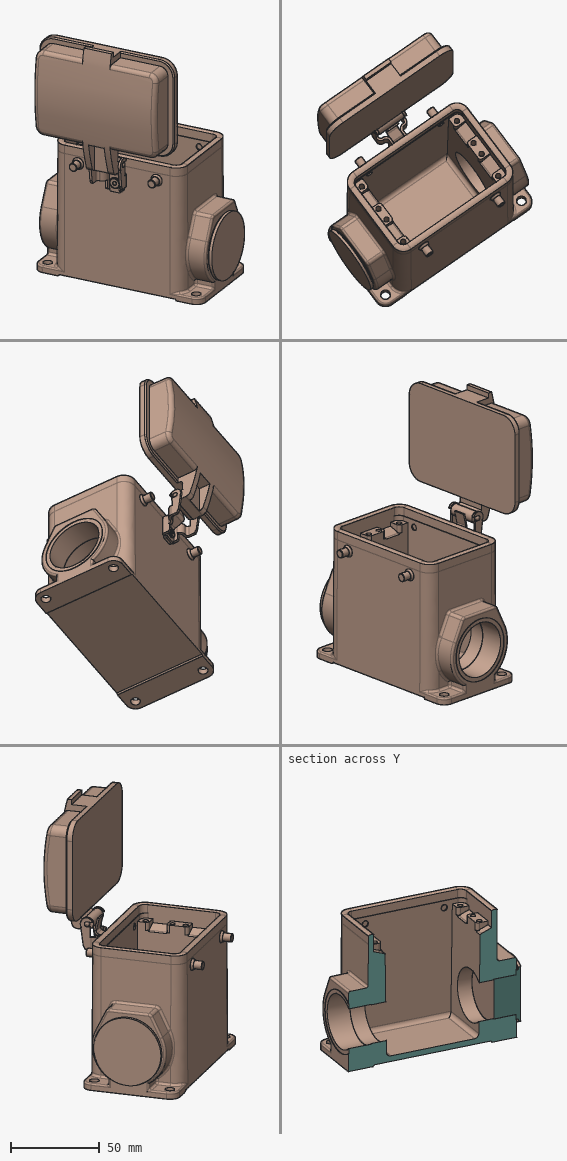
import cadquery as cq
import math

rim_top = 81.7
shoulder_z = 76.1
base_length = 82.1
base_depth = 56.8
wall_draft = 0.3
wall_corner = 7.6
rim_crown = 0.5

wall_y = -28.2

plate_length = 106.1
plate_thickness = 4.0
plate_corner = 5.9
plate_round = 1.0
foot_hole_diameter = 5.5
underside_length = 75.0
underside_gap = 1.0
underside_slope = 0.8

mouth_length = 74.2
mouth_depth = 48.0
mouth_corner = 3.7
ledge_z = 73.1
well_length = 59.7
well_depth = 47.3
well_floor_length = 57.9
well_floor_z = 4.7
well_floor_round = 2.6

boss_hole_diameter = 3.0
boss_hole_depth = 9.3
boss_hole_x = 33.0
boss_hole_ys = (-19.9, -3.9, 3.9, 19.9)
boss_round = 1.9
pocket_inner_y = 6.5
pocket_outer_y = 17.1
pocket_back_drop = 2.3
pocket_front_drop = 4.7
pocket_lip = 0.8
pocket_lip_drop = 1.5

entry_z = 26.5
entry_radius = 22.1
entry_top_z = 49.5
hub_embed = 4.7
entry_slope = 26.3
entry_top_round = 2.5
entry_neck_half = 12.1
entry_edge_round = 1.2
entry_root_round = 1.4
bore_diameter = 32.0
thread_diameter = 32.5
thread_depth = 14.6
seat_diameter = 37.5
seat_depth = 0.3

pin_x = 24.9
pin_z = 71.7
pin_diameter = 4.8
pin_tip_y = 34.5
pin_tip_chamfer = 0.3
collar_base_diameter = 7.0
collar_top_diameter = 5.5
collar_height = 1.4
pin_dimple_diameter = 3.7
pin_dimple_depth = 0.8

plug_flange_diameter = 40.1
plug_flange_start = 53.8
plug_end_x = 55.7

lid_z = 122.9
lid_top_z = 155.6
flange_length = 85.5
flange_height = 59.5
flange_front_y = -37.2
flange_back_y = -41.2
flange_corner = 9.3
flange_chamfer = 0.8
shell_length = 77.8
shell_height = 52.1
shell_corner = 5.1
shell_edge_round = 2.6
shell_draft = 0.7
dome_radius = 126.0
dome_y = -56.3
arm_half = 8.7
lip_y = -49.5
arm_bottom_z = 79.0
arm_inner_y = -44.0
arm_inner_round = 1.9
arm_bottom_round = 3.1
slot_half = 5.0
slot_top_z = 97.2
slot_floor_y = -46.7

hinge_y = -40.0
hinge_z = 82.8
barrel_radius = 3.5
barrel_gap = 0.2
hinge_pin_diameter = 3.0
hinge_pin_half = 10.9
hinge_pin_round = 1.2

sheet = 1.4
channel_half = 5.0
wing_y = -34.5
ear_outer_x = 10.1
ear_front_y = -38.1
wing_bottom_z = 67.8
wing_top_z = 75.3
channel_bottom_z = 62.0
channel_lip_y = -33.1
channel_lip_chamfer = 1.0
tongue_bottom_z = 60.2
tongue_corner = 0.8
ear_radius = 3.9
ear_foot_y = -41.0
ear_back_y = -42.2
ear_back_z = 70.0
ear_head_y = -43.5
ear_head_z = 80.5
channel_bend = 1.0
wing_outer_bend = 3.5
ear_outer_bend = 2.8

leaf = 1.1
leaf_half = 3.6
leaf_bend = 1.4
foot_top_z = 71.9
knee_y = -38.0
knee_z = 75.1
tip_y = -36.0
tip_z = 84.6
rivet_z = 66.0
rivet_shank_diameter = 3.7
rivet_head_diameter = 6.5
rivet_head_height = 1.1
rivet_head_chamfer = 0.5
rivet_dimple_diameter = 2.3
rivet_dimple_depth = 0.5

overlap = 1.5

touch = 0.2

end_x = plate_length / 2
wall_end_x = base_length / 2
wall_inset = shoulder_z * math.tan(math.radians(wall_draft))
rim_length = base_length - 2 * wall_inset
rim_depth = base_depth - 2 * wall_inset
rim_corner = wall_corner - wall_inset
crown_z = rim_top - rim_crown
channel_inner = channel_half - sheet
ear_inner_x = ear_outer_x - sheet
spring_y = wall_y - sheet
rivet_head_y = spring_y - leaf
barrel_half = arm_half - barrel_gap
flange_top_z = lid_z + flange_height / 2
flange_bottom_z = lid_z - flange_height / 2
dome_axis_y = dome_y + dome_radius


def block(x_range, y_range, z_range):
    """A box between two limits along each axis."""
    limits = (x_range, y_range, z_range)
    sizes = [high - low for low, high in limits]
    return cq.Workplane("XY").box(*sizes, centered=False).translate([low for low, high in limits])


def disc_x(diameter, x_start, x_end, y, z):
    """A cylinder along X."""
    plane = cq.Plane(origin=(x_start, y, z), xDir=(0, 1, 0), normal=(1, 0, 0))
    return cq.Workplane(plane).circle(diameter / 2).extrude(x_end - x_start)


def disc_y(diameter, y_start, y_end, x, z):
    """A cylinder along Y, running from y_start to the lower y_end."""
    return cq.Workplane("XZ", origin=(x, y_start, z)).circle(diameter / 2).extrude(y_start - y_end)


def rounded_block(length, depth, corner, z_bottom, z_top):
    """An upright block with rounded vertical corners."""
    height = z_top - z_bottom
    blank = cq.Workplane("XY", origin=(0, 0, z_bottom)).rect(length, depth).extrude(height)
    return blank.edges("|Z").fillet(corner)



def housing_wall():
    """Drafted outer block with a straight rim above its shoulder."""
    outline = cq.Sketch().rect(base_length, base_depth).vertices().fillet(wall_corner)
    drafted = cq.Workplane("XY").placeSketch(outline).extrude(shoulder_z, taper=wall_draft)
    rim = drafted.faces(">Z").wires().toPending().workplane().extrude(crown_z - shoulder_z)
    return drafted.union(rim)


def crown():
    """Shallow arched bead along the top of the rim."""
    middle_length = (rim_length + mouth_length) / 2
    middle_depth = (rim_depth + mouth_depth) / 2
    middle_corner = (rim_corner + mouth_corner) / 2
    path = rounded_block(middle_length, middle_depth, middle_corner, 0, crown_z).faces(">Z").wires()
    return (
        cq.Workplane("YZ")
        .moveTo(mouth_depth / 2, crown_z)
        .threePointArc((middle_depth / 2, rim_top), (rim_depth / 2, crown_z))
        .close()
        .sweep(path)
    )


def entry_hub():
    """Cable-entry hub at the +X end: round, with a sloped roof above and a neck below."""
    slope = math.radians(entry_slope)
    tangent_y = entry_radius * math.cos(slope)
    tangent_z = entry_z + entry_radius * math.sin(slope)
    roof_half = tangent_y - (entry_top_z - tangent_z) * math.tan(slope)
    neck_z = entry_z - math.sqrt(entry_radius**2 - entry_neck_half**2)
    inner_x = wall_end_x - hub_embed
    hub = (
        cq.Workplane("YZ", origin=(inner_x, 0, 0))
        .moveTo(-roof_half, entry_top_z)
        .lineTo(roof_half, entry_top_z)
        .lineTo(tangent_y, tangent_z)
        .threePointArc((entry_radius, entry_z), (entry_neck_half, neck_z))
        .lineTo(entry_neck_half, plate_thickness / 2)
        .lineTo(-entry_neck_half, plate_thickness / 2)
        .lineTo(-entry_neck_half, neck_z)
        .threePointArc((-entry_radius, entry_z), (-tangent_y, tangent_z))
        .close()
        .extrude(end_x - inner_x)
    )
    hub = hub.edges("|X").edges(">Z").fillet(entry_top_round)
    return hub.faces(">X").edges("not <Z").fillet(entry_edge_round)


def mounting_plate():
    """Base plate with rounded top edges and four foot holes."""
    plate = rounded_block(plate_length, base_depth, plate_corner, 0, plate_thickness)
    plate = plate.faces(">Z").edges().fillet(plate_round)
    drafted_sides = cq.Workplane("XY").rect(2 * plate_length, base_depth)
    drafted_sides = drafted_sides.extrude(plate_thickness, taper=wall_draft)
    plate = plate.intersect(drafted_sides)
    holes = (
        cq.Workplane("XY")
        .rect(plate_length - 2 * plate_corner, base_depth - 2 * plate_corner, forConstruction=True)
        .vertices()
        .circle(foot_hole_diameter / 2)
        .extrude(plate_thickness)
    )
    return plate.cut(holes)


def underside_relief():
    """Shallow channel with sloped ends under the middle of the housing."""
    half_length = underside_length / 2
    relief = block((-half_length, half_length), (-base_depth, base_depth), (0, underside_gap))
    return relief.edges("|Y").edges(">Z").chamfer(underside_slope)


def cavity():
    """Mouth down to the ledges, and the deeper well between them."""
    mouth = rounded_block(mouth_length, mouth_depth, mouth_corner, shoulder_z, crown_z)
    ledges = rounded_block(mouth_length, well_depth, mouth_corner, ledge_z, shoulder_z)
    well = (
        cq.Workplane("XY", origin=(0, 0, well_floor_z))
        .rect(well_floor_length, well_depth)
        .workplane(offset=ledge_z - well_floor_z)
        .rect(well_length, well_depth)
        .loft()
    )
    well = well.faces("<Z").edges().fillet(well_floor_round)
    return mouth.union(ledges).union(well)


def ledge_pocket(side_x, side_y):
    """Sloping pocket that separates two screw bosses on one ledge."""
    well_x = well_length / 2
    mouth_x = mouth_length / 2
    depth_range = (ledge_z - pocket_front_drop, ledge_z)
    pocket = (
        cq.Workplane("XZ", origin=(0, pocket_outer_y, 0))
        .moveTo(well_x - overlap, ledge_z + overlap)
        .lineTo(mouth_x, ledge_z + overlap)
        .lineTo(mouth_x, ledge_z - pocket_back_drop)
        .lineTo(well_x + pocket_lip, ledge_z - pocket_front_drop)
        .lineTo(well_x - overlap, ledge_z - pocket_front_drop - pocket_lip_drop)
        .close()
        .extrude(pocket_outer_y - pocket_inner_y)
    )
    for edge_y, toward_boss in ((pocket_inner_y, -1), (pocket_outer_y, 1)):
        centre_y = edge_y + toward_boss * boss_round
        corner = block(
            (well_x - overlap, well_x + boss_round),
            (min(edge_y, centre_y), max(edge_y, centre_y)),
            depth_range,
        )
        round_boss = (
            cq.Workplane("XY", origin=(well_x + boss_round, centre_y, depth_range[0]))
            .circle(boss_round)
            .extrude(pocket_front_drop)
        )
        pocket = pocket.union(corner.cut(round_boss))
    if side_x < 0:
        pocket = pocket.mirror("YZ")
    if side_y < 0:
        pocket = pocket.mirror("XZ")
    return pocket


def locking_pin(x):
    """Pin on a conical collar, standing on the -Y wall."""
    root_y = wall_y + overlap
    collar = (
        cq.Workplane("XZ", origin=(x, wall_y, pin_z))
        .circle(collar_base_diameter / 2)
        .workplane(offset=collar_height)
        .circle(collar_top_diameter / 2)
        .loft()
    )
    shank = disc_y(pin_diameter, root_y, -pin_tip_y, x, pin_z).faces("<Y").chamfer(pin_tip_chamfer)
    foot = disc_y(collar_base_diameter, root_y, wall_y, x, pin_z)
    return collar.union(foot).union(shank)


def rivet():
    """Rivet growing out of the -Y wall through the bracket and the spring."""
    shank = disc_y(rivet_shank_diameter, wall_y + overlap, rivet_head_y, 0, rivet_z)
    head_end_y = rivet_head_y - rivet_head_height
    head = disc_y(rivet_head_diameter, rivet_head_y, head_end_y, 0, rivet_z)
    head = head.faces("<Y").chamfer(rivet_head_chamfer)
    dimple = disc_y(rivet_dimple_diameter, head_end_y + rivet_dimple_depth, head_end_y, 0, rivet_z)
    return shank.union(head).cut(dimple)


def round_roots(body):
    """Round the inner corners where the hubs, end walls and plate meet."""
    half_depth = base_depth / 2
    for side in (-1, 1):
        near_wall = cq.selectors.BoxSelector(
            (side * (wall_end_x - wall_corner - overlap), -half_depth, plate_thickness - touch),
            (side * (wall_end_x + touch), half_depth, entry_top_z + touch),
        )
        beside_neck = cq.selectors.BoxSelector(
            (side * wall_end_x, -entry_neck_half - touch, plate_thickness - touch),
            (side * end_x, entry_neck_half + touch, plate_thickness + touch),
        )
        body = body.edges(near_wall + beside_neck).fillet(entry_root_round)
    return body


def make_housing():
    body = housing_wall()
    for hub in (entry_hub(), entry_hub().mirror("YZ")):
        body = body.union(hub)
    body = body.union(mounting_plate())
    body = round_roots(body)
    body = body.cut(cavity())
    body = body.union(crown())

    for side_x in (-1, 1):
        for side_y in (-1, 1):
            body = body.cut(ledge_pocket(side_x, side_y))
        for y in boss_hole_ys:
            hole = cq.Workplane("XY", origin=(side_x * boss_hole_x, y, ledge_z))
            body = body.cut(hole.circle(boss_hole_diameter / 2).extrude(-boss_hole_depth))

    body = body.cut(disc_x(bore_diameter, -end_x, end_x, 0, entry_z))
    thread = disc_x(thread_diameter, end_x - thread_depth, end_x, 0, entry_z)
    seat = disc_x(seat_diameter, end_x - seat_depth, end_x, 0, entry_z)
    for recess in (thread, seat):
        body = body.cut(recess).cut(recess.mirror("YZ"))

    body = body.cut(underside_relief())

    inner_y = -well_depth / 2
    for x in (-pin_x, pin_x):
        pin = locking_pin(x)
        dimple = disc_y(pin_dimple_diameter, inner_y, inner_y - pin_dimple_depth, x, pin_z)
        body = body.union(pin).union(pin.mirror("XZ"))
        body = body.cut(dimple).cut(dimple.mirror("XZ"))
    return body.union(rivet())



def make_plug():
    shank = disc_x(thread_diameter, end_x - thread_depth, end_x, 0, entry_z)
    neck = disc_x(seat_diameter, end_x - seat_depth, plug_flange_start, 0, entry_z)
    flange = disc_x(plug_flange_diameter, plug_flange_start, plug_end_x, 0, entry_z)
    return shank.union(neck).union(flange)



def dome_surface_y(z):
    """Y of the curved back of the lid at height z."""
    return dome_axis_y - math.sqrt(dome_radius**2 - (z - lid_z) ** 2)


def lid_flange():
    flange = (
        cq.Workplane("XZ", origin=(0, flange_front_y, lid_z))
        .rect(flange_length, flange_height)
        .extrude(flange_front_y - flange_back_y)
        .edges("|Y")
        .fillet(flange_corner)
    )
    return flange.faces("<Y").edges().chamfer(flange_chamfer)


def lid_shell():
    """Drafted block whose back is a shallow dome."""
    outline = cq.Sketch().rect(shell_length, shell_height).vertices().fillet(shell_corner)
    blank = (
        cq.Workplane("XZ", origin=(0, flange_back_y, lid_z))
        .placeSketch(outline)
        .extrude(flange_back_y - dome_y + overlap, taper=shell_draft)
    )
    dome = disc_x(2 * dome_radius, -shell_length, shell_length, dome_axis_y, lid_z)
    shell = blank.intersect(dome)
    return shell.faces("<Y").edges().fillet(shell_edge_round)


def lid_arm():
    """Middle band from the top lip down to the hinge, and the slot to cut in it."""
    arm = (
        cq.Workplane("YZ", origin=(-arm_half, 0, 0))
        .moveTo(flange_front_y, flange_top_z)
        .lineTo(lip_y, flange_top_z)
        .lineTo(lip_y, lid_top_z)
        .lineTo(dome_surface_y(lid_top_z), lid_top_z)
        .threePointArc((dome_y, lid_z), (dome_surface_y(arm_bottom_z), arm_bottom_z))
        .lineTo(hinge_y, arm_bottom_z)
        .lineTo(hinge_y, hinge_z)
        .lineTo(arm_inner_y, hinge_z + barrel_radius)
        .lineTo(arm_inner_y, flange_bottom_z)
        .lineTo(flange_front_y, flange_bottom_z)
        .close()
        .extrude(2 * arm_half)
    )
    arm = arm.edges("|X").edges("<Z").edges("<Y").fillet(arm_bottom_round)
    inner_corner = cq.selectors.NearestToPointSelector((0, arm_inner_y, flange_bottom_z))
    arm = arm.edges("|X").edges(inner_corner).fillet(arm_inner_round)
    slot = block((-slot_half, slot_half), (dome_y, slot_floor_y), (arm_bottom_z, slot_top_z))
    return arm, slot


def make_lid():
    arm, slot = lid_arm()
    barrel = disc_x(2 * barrel_radius, -barrel_half, barrel_half, hinge_y, hinge_z)
    hinge_pin = disc_x(hinge_pin_diameter, -hinge_pin_half, hinge_pin_half, hinge_y, hinge_z)
    hinge_pin = hinge_pin.faces("<X or >X").edges().fillet(hinge_pin_round)
    lid = lid_flange().union(lid_shell()).union(arm).cut(slot)
    return lid.union(barrel).union(hinge_pin)



def bracket_wings():
    """Channel whose sides fold outward into wings and then forward to the ears."""
    half_outline = (
        (channel_half, wall_y),
        (channel_half, wing_y),
        (ear_outer_x, wing_y),
        (ear_outer_x, ear_front_y),
        (ear_inner_x, ear_front_y),
        (ear_inner_x, wing_y - sheet),
        (channel_inner, wing_y - sheet),
        (channel_inner, spring_y),
    )
    outline = list(half_outline) + [(-x, y) for x, y in reversed(half_outline)]
    wings = (
        cq.Workplane("XY", origin=(0, 0, wing_bottom_z))
        .polyline(outline)
        .close()
        .extrude(wing_top_z - wing_bottom_z)
    )
    bends = (
        (channel_half, wall_y, channel_bend),
        (channel_half, wing_y, wing_outer_bend - sheet),
        (channel_inner, wing_y - sheet, wing_outer_bend),
        (ear_outer_x, wing_y, ear_outer_bend),
        (ear_inner_x, wing_y - sheet, ear_outer_bend - sheet),
    )
    for x, y, radius in bends:
        for side in (-1, 1):
            corner = cq.selectors.NearestToPointSelector((side * x, y, (wing_bottom_z + wing_top_z) / 2))
            wings = wings.edges("|Z").edges(corner).fillet(radius)
    return wings


def bracket_channel():
    """Lower channel with its back tongue reaching past the sides."""
    channel = block(
        (-channel_half, channel_half), (channel_lip_y, wall_y), (channel_bottom_z, wing_bottom_z)
    )
    channel = channel.edges("|X").edges("<Y and <Z").chamfer(channel_lip_chamfer)
    channel = channel.edges("|Z").edges(">Y").fillet(channel_bend)
    channel = channel.cut(
        block((-channel_inner, channel_inner), (channel_lip_y, spring_y), (channel_bottom_z, wing_bottom_z))
    )
    tongue = block((-leaf_half, leaf_half), (spring_y, wall_y), (tongue_bottom_z, wing_bottom_z))
    tongue = tongue.edges("|Y").edges("<Z").chamfer(tongue_corner)
    return channel.union(tongue)


def bracket_ear():
    """Ear at the +X side, with a slot open toward the housing for the hinge pin."""
    slot_half_height = hinge_pin_diameter / 2
    slot_bottom_z = hinge_z - slot_half_height
    leg = (
        cq.Workplane("YZ", origin=(ear_inner_x, 0, 0))
        .moveTo(ear_front_y, wing_bottom_z)
        .lineTo(ear_foot_y, wing_bottom_z)
        .lineTo(ear_back_y, ear_back_z)
        .lineTo(ear_head_y, ear_head_z)
        .lineTo(hinge_y, hinge_z)
        .lineTo(ear_front_y, hinge_z)
        .close()
        .extrude(sheet)
    )
    head = disc_x(2 * ear_radius, ear_inner_x, ear_outer_x, hinge_y, hinge_z)
    x_range = (ear_inner_x, ear_outer_x)
    front_y = hinge_y + ear_radius
    trim = block(x_range, (ear_front_y, front_y), (hinge_z - ear_radius, slot_bottom_z))
    slot = block(x_range, (hinge_y, front_y), (slot_bottom_z, hinge_z + slot_half_height))
    slot_end = disc_x(hinge_pin_diameter, ear_inner_x, ear_outer_x, hinge_y, hinge_z)
    return head.cut(trim).union(leg).cut(slot).cut(slot_end)


def make_bracket():
    bracket = bracket_wings().union(bracket_channel())
    bracket = bracket.union(bracket_ear()).union(bracket_ear().mirror("YZ"))
    return bracket.cut(disc_y(rivet_shank_diameter, wall_y, spring_y, 0, rivet_z))



def make_spring():
    """Leaf riveted in the channel, sloping out below the lid arm and up to the hinge barrel."""
    spring = (
        cq.Workplane("YZ", origin=(-leaf_half, 0, 0))
        .moveTo(spring_y, tongue_bottom_z)
        .lineTo(spring_y - leaf, tongue_bottom_z)
        .lineTo(spring_y - leaf, foot_top_z)
        .lineTo(knee_y, knee_z)
        .lineTo(tip_y, tip_z)
        .lineTo(tip_y + leaf, tip_z)
        .lineTo(knee_y + leaf, knee_z + leaf)
        .lineTo(spring_y, foot_top_z + leaf)
        .close()
        .extrude(2 * leaf_half)
    )
    bends = (
        (spring_y - leaf, foot_top_z, leaf_bend),
        (spring_y, foot_top_z + leaf, leaf_bend + leaf),
        (knee_y + leaf, knee_z + leaf, leaf_bend),
        (knee_y, knee_z, leaf_bend + leaf),
    )
    for y, z, radius in bends:
        spring = spring.edges("|X").edges(cq.selectors.NearestToPointSelector((0, y, z))).fillet(radius)
    spring = spring.edges("|Y").edges("<Z").chamfer(tongue_corner)
    return spring.cut(disc_y(rivet_shank_diameter, spring_y, rivet_head_y, 0, rivet_z))


housing = make_housing()
plug = make_plug()
lid = make_lid()
bracket = make_bracket()
spring = make_spring()

result = cq.Compound.makeCompound(
    [housing.val(), plug.val(), lid.val(), bracket.val(), spring.val()]
)